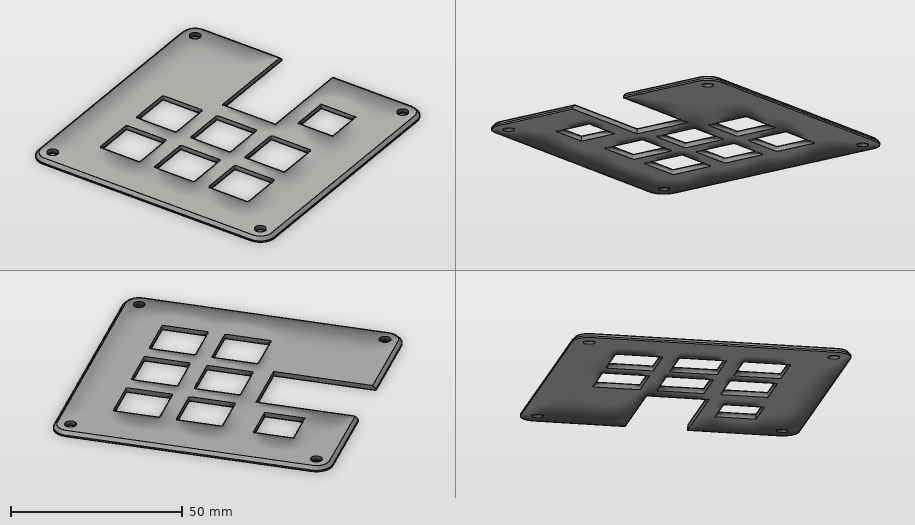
import cadquery as cq

width = 82.9
length = 84.6
thickness = 1.5
corner_radius = 5.0
edge_chamfer = 1.0

screw_hole_diameter = 3.4

notch_width = 18.6
notch_center_x = -0.1
notch_floor_y = 11.25

key_size = 14.05
key_corner_radius = 0.5
key_pitch = 19.0
key_columns = 3
key_rows = 2
key_grid_center_x = -0.5
key_grid_center_y = -10.9

square_size = 12.2
square_center_x = 20.5
square_center_y = 21.4


def make_plate():
    """Rounded plate with its upper outer edge chamfered."""
    plate = cq.Workplane("XY").box(width, length, thickness, centered=(True, True, False))
    plate = plate.edges("|Z").fillet(corner_radius)
    return plate.faces(">Z").edges().chamfer(edge_chamfer)


def make_screw_holes():
    """Four cylinders on the corner centres."""
    return (
        cq.Workplane("XY")
        .rect(width - 2 * corner_radius, length - 2 * corner_radius, forConstruction=True)
        .vertices()
        .circle(screw_hole_diameter / 2)
        .extrude(thickness)
    )


def make_notch():
    """Block running from the notch floor to the rear edge."""
    depth = length / 2 - notch_floor_y
    return (
        cq.Workplane("XY")
        .center(notch_center_x, notch_floor_y + depth / 2)
        .rect(notch_width, depth)
        .extrude(thickness)
    )


def make_key_openings():
    """Grid of square prisms with slightly rounded corners."""
    return (
        cq.Workplane("XY")
        .center(key_grid_center_x, key_grid_center_y)
        .rarray(key_pitch, key_pitch, key_columns, key_rows)
        .rect(key_size, key_size)
        .extrude(thickness)
        .edges("|Z")
        .fillet(key_corner_radius)
    )


def make_square_opening():
    """Sharp-cornered square prism."""
    return (
        cq.Workplane("XY")
        .center(square_center_x, square_center_y)
        .rect(square_size, square_size)
        .extrude(thickness)
    )


result = (
    make_plate()
    .cut(make_screw_holes())
    .cut(make_notch())
    .cut(make_key_openings())
    .cut(make_square_opening())
)